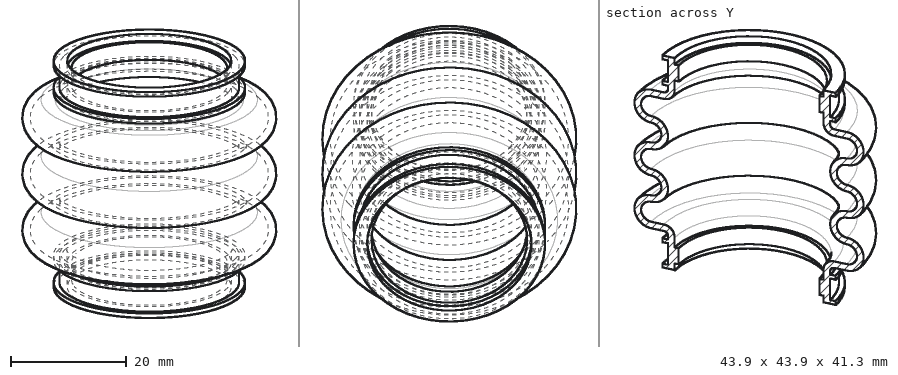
import cadquery as cq
import math

outer_radius = 21.95
height = 41.3
wall = 1.35

bulge_count = 3
bulge_pitch = 10.25
bulge_radius = 3.25
valley_radius = bulge_pitch / 2 - bulge_radius
arc_center_radius = outer_radius - bulge_radius

collar_radius = 15.55
neck_fillet = 0.75

flange_radius = 16.55
flange_thickness = 0.85
flange_spacing = 4.9

ring_inner_radius = 13.42
ring_depth = 1.27
ring_height = 3.2

first_bulge_z = -bulge_pitch * (bulge_count - 1) / 2
neck_center_radius = collar_radius + neck_fillet


def surface_of_revolution(offset):
    """Solid inside the bellows surface moved inward by offset."""
    bulge = bulge_radius - offset
    valley = valley_radius + offset
    fillet = neck_fillet + offset
    end_radius = collar_radius - offset
    fillet_mid_radius = neck_center_radius - fillet * math.sqrt(0.5)
    fillet_center_z = bulge_radius + neck_fillet - first_bulge_z
    fillet_mid_z = fillet_center_z - fillet * math.sqrt(0.5)

    profile = (
        cq.Workplane("XZ")
        .moveTo(0, -height / 2)
        .lineTo(end_radius, -height / 2)
        .lineTo(end_radius, -fillet_center_z)
        .threePointArc((fillet_mid_radius, -fillet_mid_z), (neck_center_radius, first_bulge_z - bulge))
        .lineTo(arc_center_radius, first_bulge_z - bulge)
    )
    for index in range(bulge_count):
        bulge_z = first_bulge_z + index * bulge_pitch
        profile = profile.threePointArc(
            (arc_center_radius + bulge, bulge_z), (arc_center_radius, bulge_z + bulge)
        )
        if index < bulge_count - 1:
            profile = profile.threePointArc(
                (arc_center_radius - valley, bulge_z + bulge_pitch / 2),
                (arc_center_radius, bulge_z + bulge_pitch - bulge),
            )
    profile = (
        profile.lineTo(neck_center_radius, bulge - first_bulge_z)
        .threePointArc((fillet_mid_radius, fillet_mid_z), (end_radius, fillet_center_z))
        .lineTo(end_radius, height / 2)
        .lineTo(0, height / 2)
        .close()
    )
    return profile.revolve(360, (0, 0, 0), (0, 1, 0))


def collar_band(inner_radius, band_radius, depth, thickness):
    """Flat ring whose upper face lies depth below the top end."""
    return (
        cq.Workplane("XY", origin=(0, 0, height / 2 - depth - thickness))
        .circle(band_radius)
        .circle(inner_radius)
        .extrude(thickness)
    )


result = surface_of_revolution(0).cut(surface_of_revolution(wall))

wall_middle = collar_radius - wall / 2
bands = [
    collar_band(wall_middle, flange_radius, 0, flange_thickness),
    collar_band(wall_middle, flange_radius, flange_spacing, flange_thickness),
    collar_band(ring_inner_radius, wall_middle, ring_depth, ring_height),
]
for band in bands:
    result = result.union(band).union(band.mirror("XY"))